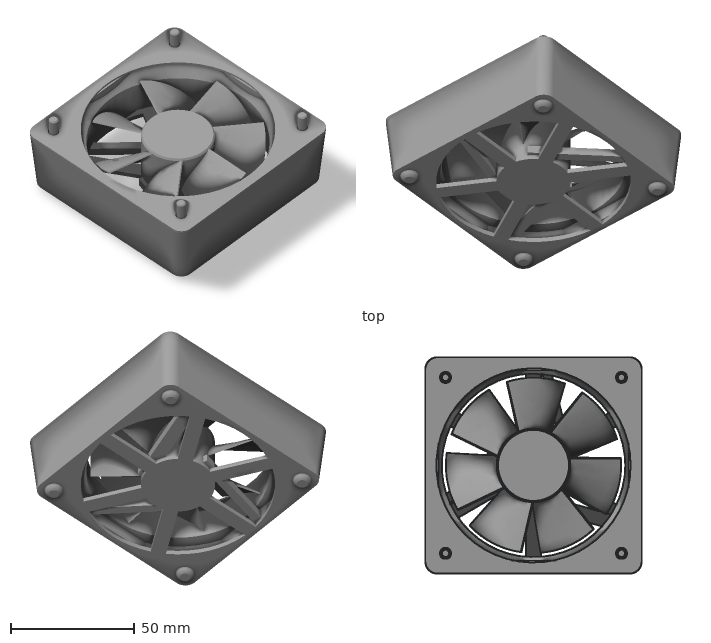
import cadquery as cq
import math

SIDE = 88.0
HEIGHT = 28.0
PLATE_THICKNESS = 1.0
FLOOR_THICKNESS = 2.0
CORNER_RADIUS = 5.0
BOTTOM_SIDE = 84.05
FRAME_SIDE = 80.0
BOX_HEIGHT = HEIGHT - PLATE_THICKNESS
FRAME_HEIGHT = BOX_HEIGHT - FLOOR_THICKNESS

INLET_DIAMETER = 79.0
BORE_DIAMETER = 74.5
FLARE_HEIGHT = 5.7
FLARE_DIAMETER = 84.5
OUTLET_HEIGHT = 5.3
FLARE_LIMIT = 77.45

SPOKE_COUNT = 6
SPOKE_WIDTH = 6.25
SPOKE_START = 30.0
GRILLE_HUB_DIAMETER = 30.0

STRUT_WIDTH = 3.7
WIRE_STRUT_WIDTH = 5.7
STRUT_WIDTHS = [STRUT_WIDTH, STRUT_WIDTH, WIRE_STRUT_WIDTH]
STRUT_OVERRUN = 3.5
STRUT_HEIGHT = 3.5
STRUT_EDGE = 16.5
STRUT_START = 14.5
MOUNT_DIAMETER = 30.0

HUB_DIAMETER = 30.0
HUB_TOP_DIAMETER = 28.3
HUB_CHAMFER_HEIGHT = 0.6
HUB_TOP = 25.35
BLADE_COUNT = 7
BLADE_TIP_DIAMETER = 71.3
BLADE_TOP = 24.8
BLADE_BOTTOM = 8.4
BLADE_THICKNESS = 0.6
BLADE_BULGE = 2.2
BLADE_ROOT_RADIUS = 10.6
BLADE_END_RADIUS = 37.0
ROOT_HIGH_EDGE = -5.3
ROOT_LOW_EDGE = 6.3
END_HIGH_EDGE = -11.3
END_LOW_EDGE = 13.9

SCREW_SPACING = 71.5
SCREW_DIAMETER = 4.0
SCREW_HOLE_DIAMETER = 4.6
SCREW_LENGTH = 35.0
SCREW_TIP_CHAMFER = 0.5
HEAD_DIAMETER = 7.6
HEAD_FLAT_DIAMETER = 4.3
HEAD_HEIGHT = 2.2
HEAD_BULGE = 0.3

SCREW_PLACES = [(x * SCREW_SPACING / 2, y * SCREW_SPACING / 2) for x in (-1, 1) for y in (-1, 1)]


def cylinder(diameter, bottom, top):
    return cq.Workplane("XY").workplane(offset=bottom).circle(diameter / 2).extrude(top - bottom)


def drill_screw_holes(body):
    holes = cq.Workplane("XY").pushPoints(SCREW_PLACES).circle(SCREW_HOLE_DIAMETER / 2).extrude(HEIGHT)
    return body.cut(holes)


def rounded_square(side):
    return cq.Sketch().rect(side, side).vertices().fillet(CORNER_RADIUS)


def make_cover_plate():
    plate = cq.Workplane("XY").workplane(offset=BOX_HEIGHT)
    plate = plate.placeSketch(rounded_square(SIDE)).extrude(PLATE_THICKNESS)
    plate = plate.cut(cylinder(INLET_DIAMETER, BOX_HEIGHT, HEIGHT))
    return drill_screw_holes(plate)


def make_grille():
    """Radial spokes and their centre disc, filling the floor opening."""
    grille = cylinder(GRILLE_HUB_DIAMETER, 0, FLOOR_THICKNESS)
    for i in range(SPOKE_COUNT // 2):
        spoke_pair = cq.Workplane("XY").rect(INLET_DIAMETER + 0.9, SPOKE_WIDTH).extrude(FLOOR_THICKNESS)
        grille = grille.union(spoke_pair.rotate((0, 0, 0), (0, 0, 1), SPOKE_START + i * 360 / SPOKE_COUNT))
    return grille


def make_box():
    bottom = rounded_square(BOTTOM_SIDE)
    top = rounded_square(SIDE).moved(cq.Location(cq.Vector(0, 0, BOX_HEIGHT)))
    box = cq.Workplane("XY").placeSketch(bottom, top).loft()
    recess = cq.Workplane("XY").workplane(offset=FLOOR_THICKNESS).rect(FRAME_SIDE, FRAME_SIDE)
    box = box.cut(recess.extrude(FRAME_HEIGHT))
    box = box.cut(cylinder(INLET_DIAMETER, 0, FLOOR_THICKNESS))
    box = box.union(make_grille())
    return drill_screw_holes(box)


def flatten_sides(widening):
    """Keep a widening of the bore inside the frame walls."""
    return widening.intersect(cq.Workplane("XY").rect(FLARE_LIMIT, FLARE_LIMIT).extrude(HEIGHT))


def make_flare():
    """Cone opening upward to the top of the frame."""
    cone = (
        cq.Workplane("XZ")
        .moveTo(0, BOX_HEIGHT - FLARE_HEIGHT)
        .lineTo(BORE_DIAMETER / 2, BOX_HEIGHT - FLARE_HEIGHT)
        .lineTo(FLARE_DIAMETER / 2, BOX_HEIGHT)
        .lineTo(0, BOX_HEIGHT)
        .close()
        .revolve(360, (0, 0, 0), (0, 1, 0))
    )
    return flatten_sides(cone)


def make_motor_mount():
    """Disc below the impeller and the struts that run from it, off centre, to the bore wall."""
    top = FLOOR_THICKNESS + STRUT_HEIGHT
    mount = cylinder(MOUNT_DIAMETER, FLOOR_THICKNESS, top)
    reach = flatten_sides(cylinder(FLARE_DIAMETER, FLOOR_THICKNESS, top))
    for i, width in enumerate(STRUT_WIDTHS):
        strut = (
            cq.Workplane("XY")
            .workplane(offset=FLOOR_THICKNESS)
            .moveTo(STRUT_EDGE, -STRUT_OVERRUN)
            .rect(-width, STRUT_OVERRUN + FRAME_SIDE / 2, centered=False)
            .extrude(STRUT_HEIGHT)
            .rotate((0, 0, 0), (0, 0, 1), STRUT_START + i * 360 / len(STRUT_WIDTHS))
        )
        mount = mount.union(strut.intersect(reach))
    return mount


def make_frame():
    frame = cq.Workplane("XY").workplane(offset=FLOOR_THICKNESS).rect(FRAME_SIDE, FRAME_SIDE)
    frame = frame.extrude(FRAME_HEIGHT)
    frame = frame.cut(cylinder(BORE_DIAMETER, FLOOR_THICKNESS, BOX_HEIGHT))
    outlet = flatten_sides(cylinder(FLARE_DIAMETER, FLOOR_THICKNESS, FLOOR_THICKNESS + OUTLET_HEIGHT))
    frame = frame.cut(make_flare()).cut(outlet)
    frame = frame.union(make_motor_mount())
    return drill_screw_holes(frame)


def blade_section(distance, high_edge, low_edge):
    """Curved strip section standing at a given distance from the axis."""
    width = low_edge - high_edge
    rise = BLADE_TOP - BLADE_BOTTOM
    chord = math.hypot(width, rise)
    middle = (high_edge + low_edge) / 2 + BLADE_BULGE * rise / chord
    middle_height = (BLADE_TOP + BLADE_BOTTOM) / 2 + BLADE_BULGE * width / chord
    shift = BLADE_THICKNESS * rise / chord
    drop = BLADE_THICKNESS * width / chord
    return (
        cq.Workplane("XZ", origin=(0, distance, 0))
        .moveTo(high_edge, BLADE_TOP)
        .threePointArc((middle, middle_height), (low_edge, BLADE_BOTTOM))
        .lineTo(low_edge - shift, BLADE_BOTTOM - drop)
        .threePointArc((middle - shift, middle_height - drop), (high_edge - shift, BLADE_TOP - drop))
        .close()
        .val()
    )


def make_blade():
    root = blade_section(BLADE_ROOT_RADIUS, ROOT_HIGH_EDGE, ROOT_LOW_EDGE)
    end = blade_section(BLADE_END_RADIUS, END_HIGH_EDGE, END_LOW_EDGE)
    blade = cq.Workplane(cq.Solid.makeLoft([root, end], True))
    return blade.intersect(cylinder(BLADE_TIP_DIAMETER, 0, HEIGHT))


def make_impeller():
    hub_bottom = FLOOR_THICKNESS + STRUT_HEIGHT
    hub = cylinder(HUB_DIAMETER, hub_bottom, HUB_TOP)
    hub = hub.faces(">Z").chamfer((HUB_DIAMETER - HUB_TOP_DIAMETER) / 2, HUB_CHAMFER_HEIGHT)
    blade = make_blade()
    for i in range(BLADE_COUNT):
        hub = hub.union(blade.rotate((0, 0, 0), (0, 0, 1), i * 360 / BLADE_COUNT))
    return hub


def make_screw():
    """Button-head screw with its head under the floor and its tip above the cover plate."""
    side_radius = (HEAD_DIAMETER + HEAD_FLAT_DIAMETER) / 4
    shank = SCREW_DIAMETER / 2
    return (
        cq.Workplane("XZ")
        .moveTo(0, -HEAD_HEIGHT)
        .lineTo(HEAD_FLAT_DIAMETER / 2, -HEAD_HEIGHT)
        .threePointArc((side_radius + HEAD_BULGE, -HEAD_HEIGHT / 2 - HEAD_BULGE), (HEAD_DIAMETER / 2, 0))
        .lineTo(shank, 0)
        .lineTo(shank, SCREW_LENGTH - SCREW_TIP_CHAMFER)
        .lineTo(shank - SCREW_TIP_CHAMFER, SCREW_LENGTH)
        .lineTo(0, SCREW_LENGTH)
        .close()
        .revolve(360, (0, 0, 0), (0, 1, 0))
    )


cover_plate = make_cover_plate()
box = make_box()
frame = make_frame()
impeller = make_impeller()
screws = [make_screw().translate((x, y, 0)).val() for x, y in SCREW_PLACES]

result = cq.Compound.makeCompound(
    [cover_plate.val(), box.val(), frame.val(), impeller.val(), *screws]
)